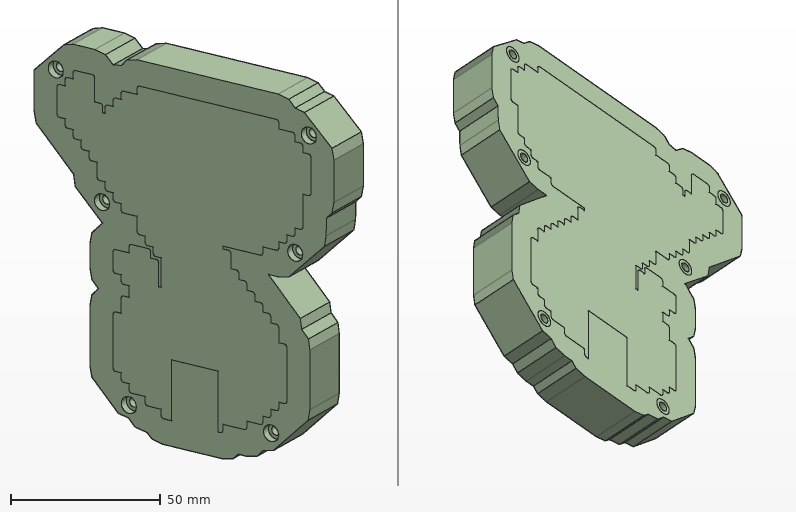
import cadquery as cq

thickness = 18.0
front_y = -thickness / 2

columns = 32
rows = 37
inlay_width = 101.9
wall = 1.0
inlay_corner_radius = 1.0
pixel = (inlay_width + wall) / columns

tongue_width = 18.6
tongue_center_x = 4.4
tongue_top_z = -37.0

sleeve_diameter = 6.0
bore_diameter = 3.4
sleeve_recess = 3.0
sleeve_centers = [
    (-51.5, 57.7),
    (50.1, 56.0),
    (-32.9, 13.8),
    (44.7, 12.5),
    (-22.1, -57.1),
    (35.0, -54.8),
]

housing_corners = [
    (-44.5, 68.3), (-35.8, 68.3), (-31.5, 67.4), (-28.4, 64.4),
    (-25.1, 64.9), (-23.1, 67.2), (-18.9, 68.3),
    (37.8, 68.3), (42.1, 67.4), (44.7, 64.8), (48.4, 64.0),
    (59.5, 53.4), (60.3, 49.3), (60.3, 34.0), (59.5, 30.0), (57.2, 27.7),
    (57.1, 21.3), (56.4, 17.4), (42.1, 3.1), (37.8, 2.3), (33.9, 2.3),
    (46.7, -10.8), (47.3, -14.6), (50.0, -17.5), (50.5, -21.3),
    (50.5, -42.9), (49.9, -46.9),
    (35.8, -61.0), (31.7, -61.8), (29.4, -64.4), (25.1, -65.3), (21.7, -65.3),
    (19.7, -67.4), (15.5, -68.3), (-8.6, -68.3), (-12.8, -67.4), (-14.9, -65.5),
    (-19.7, -64.5), (-22.4, -61.8), (-26.4, -61.1),
    (-37.0, -50.3), (-37.8, -46.3), (-37.8, -24.7), (-37.0, -20.5), (-34.4, -17.8),
    (-37.0, -15.0), (-37.8, -10.8), (-37.8, -2.3), (-37.0, 1.9), (-32.8, 6.3),
    (-43.7, 17.1), (-44.4, 21.5), (-59.5, 36.6), (-60.3, 40.9), (-60.3, 55.6), (-48.4, 67.2),
]

inlay_corners = [
    (2, 0), (5, 0), (5, 3), (7, 3), (7, 2), (8, 2), (8, 1), (10, 1), (10, 0), (28, 0),
    (28, 1), (30, 1), (30, 2), (31, 2), (31, 3), (32, 3), (32, 8), (31, 8), (31, 12),
    (30, 12), (30, 13), (29, 13), (29, 14), (28, 14), (28, 15), (26, 15), (26, 16), (22, 16),
    (22, 18), (23, 18), (23, 19), (24, 19), (24, 20), (25, 20), (25, 21), (26, 21), (26, 22),
    (27, 22), (27, 23), (28, 23), (28, 25), (29, 25), (29, 32), (28, 32), (28, 33), (27, 33),
    (27, 34), (26, 34), (26, 35), (24, 35), (24, 36), (21, 36), (21, 37),
    (13, 37), (13, 36), (11, 36), (11, 35), (9, 35), (9, 34), (8, 34), (8, 33), (7, 33),
    (7, 26), (8, 26), (8, 24), (9, 24), (9, 23), (8, 23), (8, 22), (7, 22), (7, 19),
    (9, 19), (9, 18), (11, 18),
    (11, 17), (10, 17), (10, 15), (8, 15), (8, 14), (7, 14), (7, 13), (6, 13), (6, 12),
    (5, 12), (5, 10), (4, 10), (4, 9), (3, 9), (3, 8), (2, 8), (2, 7), (1, 7), (1, 6),
    (0, 6), (0, 2), (1, 2), (1, 1), (2, 1),
]

wall_paths = [
    [(6, 3), (6, 4)],
    [(22, 16), (21, 16)],
    [(11, 18), (12, 18), (12, 19), (13, 19), (13, 22)],
]


def grid_point(column, row):
    """The (x, z) place of a grid corner."""
    return (column - columns / 2) * pixel, (rows / 2 - row) * pixel


def front_plane(depth=0):
    """Sketch plane parallel to the front face; sketch x is X, sketch y is Z, normal is -Y."""
    return cq.Workplane("XZ", origin=(0, front_y + depth, 0))


def make_wall_piece(start, end):
    """A straight wall along one grid line, reaching half a wall past both ends."""
    x1, z1 = grid_point(*start)
    x2, z2 = grid_point(*end)
    return (
        front_plane()
        .center((x1 + x2) / 2, (z1 + z2) / 2)
        .rect(abs(x2 - x1) + wall, abs(z2 - z1) + wall)
        .extrude(-thickness)
    )


def make_tongue():
    """The block cut out of the inlay, reaching past the bottom of the pixel art."""
    height = tongue_top_z + rows / 2 * pixel
    return (
        front_plane()
        .center(tongue_center_x, tongue_top_z - height / 2)
        .rect(tongue_width, height)
        .extrude(-thickness)
    )


def round_outer_corners(body, radius):
    """The same prism with its convex corners rounded, by shrinking its outline and growing it back."""
    return (
        front_plane()
        .add(body.faces("<Y").wires().val())
        .toPending()
        .offset2D(-radius, "intersection")
        .offset2D(radius, "arc")
        .extrude(-thickness)
    )


def make_inlay():
    """The pixel art, half a wall smaller all round and rounded, without the thin walls and the tongue."""
    inlay = (
        front_plane()
        .polyline([grid_point(*corner) for corner in inlay_corners])
        .close()
        .offset2D(-wall / 2, "intersection")
        .extrude(-thickness)
    )
    for path in wall_paths:
        for start, end in zip(path, path[1:]):
            inlay = inlay.cut(make_wall_piece(start, end))
    return round_outer_corners(inlay, inlay_corner_radius).cut(make_tongue())


def make_housing(inlay):
    """The plate around the inlay, with a through hole for each sleeve."""
    plate = front_plane().polyline(housing_corners).close().extrude(-thickness)
    holes = front_plane().pushPoints(sleeve_centers).circle(sleeve_diameter / 2).extrude(-thickness)
    return plate.cut(inlay).cut(holes)


def make_sleeve(x, z):
    """A tube from the recess depth to the back face."""
    return (
        front_plane(sleeve_recess)
        .center(x, z)
        .circle(sleeve_diameter / 2)
        .circle(bore_diameter / 2)
        .extrude(sleeve_recess - thickness)
    )


inlay = make_inlay()
housing = make_housing(inlay)
sleeves = [make_sleeve(x, z) for x, z in sleeve_centers]

bodies = [housing, inlay, *sleeves]
result = cq.Compound.makeCompound([body.solids().val() for body in bodies])